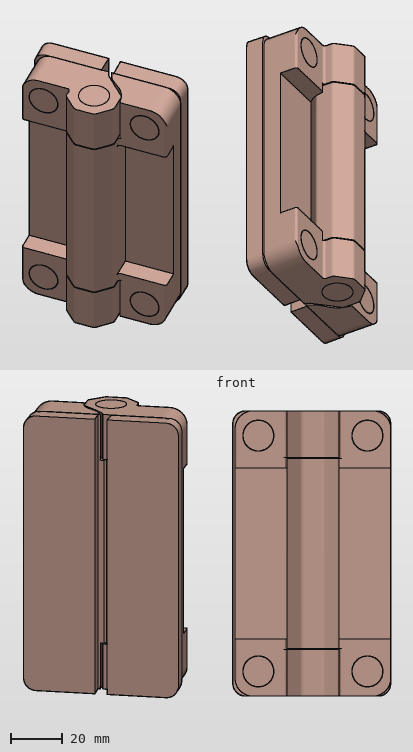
import cadquery as cq
import math


HEIGHT = 110.0
LEAF_HALF_SPAN = 30.0
LEAF_BACK_Y = 15.0
LEAF_CORNER_R = 7.0
LEAF_EDGE_R = 1.0

KNUCKLE_HALF = 10.0
KNUCKLE_FLAT = KNUCKLE_HALF * math.tan(math.pi / 8)
KNUCKLE_EDGE_R = 2.0
KNUCKLE_ROOT_R = 1.0
KNUCKLE_HEIGHT = 18.0
KNUCKLE_GAP = 0.3
CENTER_KNUCKLE_START = KNUCKLE_HEIGHT + KNUCKLE_GAP
PIN_D = 12.0

SHOULDER_Y = 3.5
SLANT_BEND = (5.1, 8.5)
TIP_BEND = (1.0, 12.9)
TIP_X = 0.1
CLEARANCE_R = 10.6
CLEARANCE_BEND = (-3.1, 11.2)
CLEARANCE_TIP_X = -1.2
CLEARANCE_EDGE_R = 0.5

BOSS_HEIGHT = 22.0
RECESS_FLOOR_Y = 7.5

CAP_X = 21.0
CAP_END_DISTANCE = 9.6
CAP_D = 11.8
CAP_HOLE_D = 12.0
CAP_DEPTH = 2.2

PAD_WIDTH = 28.0
PAD_THICKNESS = 7.3
PAD_CORNER_R = 5.0
PAD_DRAFT_ANGLE = 1.0
PAD_OUTER_X = {-1: 30.9, 1: LEAF_HALF_SPAN}


def edge_at(x, y):
    """Selector for the vertical edge through the point (x, y)."""
    tolerance = 0.01
    return cq.selectors.BoxSelector(
        (x - tolerance, y - tolerance, -HEIGHT),
        (x + tolerance, y + tolerance, 2 * HEIGHT),
    )


def fillet_vertical_edges(body, points, radius):
    for x, y in points:
        body = body.edges("|Z").edges(edge_at(x, y)).fillet(radius)
    return body


def knuckle_section(bottom, top):
    """Left-hand leaf length that carries a knuckle."""
    octagon_rim = [
        (KNUCKLE_HALF, SHOULDER_Y),
        (KNUCKLE_HALF, -KNUCKLE_FLAT),
        (KNUCKLE_FLAT, -KNUCKLE_HALF),
        (-KNUCKLE_FLAT, -KNUCKLE_HALF),
        (-KNUCKLE_HALF, -KNUCKLE_FLAT),
    ]
    root = (-KNUCKLE_HALF, 0)
    outer_edge = (-LEAF_HALF_SPAN, 0)
    outline = [
        (-LEAF_HALF_SPAN, LEAF_BACK_Y),
        (TIP_X, LEAF_BACK_Y),
        TIP_BEND,
        SLANT_BEND,
        *octagon_rim,
        root,
        outer_edge,
    ]
    body = cq.Workplane("XY", origin=(0, 0, bottom)).polyline(outline).close().extrude(top - bottom)
    body = fillet_vertical_edges(body, octagon_rim, KNUCKLE_EDGE_R)
    body = fillet_vertical_edges(body, [root], KNUCKLE_ROOT_R)
    return fillet_vertical_edges(body, [outer_edge], LEAF_EDGE_R)


def on_clearance_circle(degrees):
    angle = math.radians(degrees)
    return (CLEARANCE_R * math.cos(angle), CLEARANCE_R * math.sin(angle))


def clearance_section(bottom, top):
    """Left-hand leaf length hollowed out for the other leaf's knuckle."""
    arc_start = on_clearance_circle(135)
    arc_middle = on_clearance_circle(157.5)
    arc_end = on_clearance_circle(180)
    outer_edge = (-LEAF_HALF_SPAN, 0)
    body = (
        cq.Workplane("XY", origin=(0, 0, bottom))
        .moveTo(-LEAF_HALF_SPAN, LEAF_BACK_Y)
        .lineTo(CLEARANCE_TIP_X, LEAF_BACK_Y)
        .lineTo(*CLEARANCE_BEND)
        .lineTo(*arc_start)
        .threePointArc(arc_middle, arc_end)
        .lineTo(*outer_edge)
        .close()
        .extrude(top - bottom)
    )
    body = fillet_vertical_edges(body, [arc_end], CLEARANCE_EDGE_R)
    return fillet_vertical_edges(body, [outer_edge], LEAF_EDGE_R)


def mirrored(body):
    return body.mirror("YZ")


def corner_envelope(side):
    """Block around both leaves, rounded at the outer corners of one; side is -1 left, 1 right."""
    outer_face = "<X" if side < 0 else ">X"
    return (
        cq.Workplane("XY")
        .box(2 * LEAF_HALF_SPAN, LEAF_BACK_Y + KNUCKLE_HALF, HEIGHT, centered=(True, False, False))
        .translate((0, -KNUCKLE_HALF, 0))
        .faces(outer_face)
        .edges("|Y")
        .fillet(LEAF_CORNER_R)
    )


def cap_cylinders(side, diameter):
    """Cylinders going into the front face at the two cap positions of one leaf."""
    cap_heights = (CAP_END_DISTANCE, HEIGHT - CAP_END_DISTANCE)
    return [
        cq.Workplane("XZ", origin=(side * CAP_X, 0, z)).circle(diameter / 2).extrude(-CAP_DEPTH)
        for z in cap_heights
    ]


def finish_leaf(body, side, recess_start):
    """Round the outer corners, cut the front recess and the cap holes.

    recess_start is the distance from the hinge axis to the inner end of the recess.
    """
    body = body.intersect(corner_envelope(side))
    recess_width = LEAF_HALF_SPAN - recess_start
    recess = (
        cq.Workplane("XY")
        .box(
            recess_width,
            RECESS_FLOOR_Y + KNUCKLE_ROOT_R,
            HEIGHT - 2 * BOSS_HEIGHT,
            centered=(True, False, False),
        )
        .translate((side * (recess_start + recess_width / 2), -KNUCKLE_ROOT_R, BOSS_HEIGHT))
    )
    body = body.cut(recess)
    for hole in cap_cylinders(side, CAP_HOLE_D):
        body = body.cut(hole)
    return body


def make_outer_leaf():
    """Left leaf with a knuckle at each end, both bored for the pin."""
    upper_start = HEIGHT - KNUCKLE_HEIGHT
    body = (
        knuckle_section(0, KNUCKLE_HEIGHT)
        .union(clearance_section(KNUCKLE_HEIGHT, upper_start))
        .union(knuckle_section(upper_start, HEIGHT))
    )
    pin_bore = cq.Workplane("XY").circle(PIN_D / 2).extrude(HEIGHT)
    return finish_leaf(body.cut(pin_bore), -1, recess_start=0)


def make_center_leaf():
    """Right leaf with one long middle knuckle whose pin ends reach through the outer leaf."""
    knuckle_end = HEIGHT - CENTER_KNUCKLE_START
    body = (
        mirrored(clearance_section(0, CENTER_KNUCKLE_START))
        .union(mirrored(knuckle_section(CENTER_KNUCKLE_START, knuckle_end)))
        .union(mirrored(clearance_section(knuckle_end, HEIGHT)))
    )
    pin = cq.Workplane("XY").circle(PIN_D / 2).extrude(HEIGHT)
    return finish_leaf(body, 1, recess_start=KNUCKLE_HALF).union(pin)


def make_pad(side):
    """Backing pad behind one leaf, rounded at its outer corners and narrowing toward the leaf."""
    outer_corners = "<X" if side < 0 else ">X"
    center_x = side * (PAD_OUTER_X[side] - PAD_WIDTH / 2)
    back_outline = cq.Sketch().rect(PAD_WIDTH, HEIGHT).vertices(outer_corners).fillet(PAD_CORNER_R)
    return (
        cq.Workplane("XZ")
        .placeSketch(back_outline)
        .extrude(PAD_THICKNESS, taper=PAD_DRAFT_ANGLE)
        .translate((center_x, LEAF_BACK_Y + PAD_THICKNESS, HEIGHT / 2))
    )


outer_leaf = make_outer_leaf()
center_leaf = make_center_leaf()
pads = [make_pad(side) for side in (-1, 1)]
caps = [cap for side in (-1, 1) for cap in cap_cylinders(side, CAP_D)]

result = cq.Compound.makeCompound([
    outer_leaf.val(),
    center_leaf.val(),
    *[pad.val() for pad in pads],
    *[cap.val() for cap in caps],
])